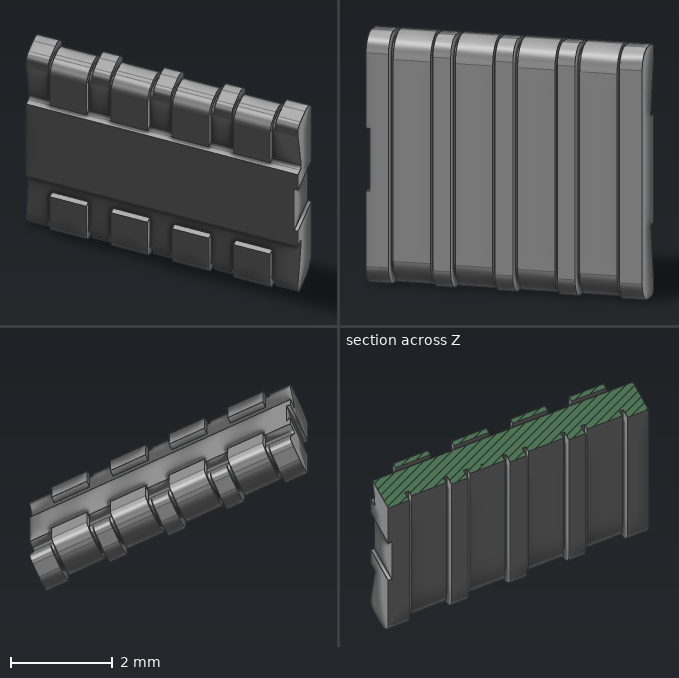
import cadquery as cq
import math

LENGTH = 5.64
HEIGHT = 5.08
BODY_DEPTH = 0.82
BACK_RADIUS = 0.39
FRONT_RADIUS = 0.14

RELIEF_START = 0.295
RELIEF_END = 1.45
RELIEF_DEPTH = 0.21
RELIEF_CORNER_RADIUS = 0.07

NOTCH_DEPTH = 0.08
NOTCH_HEIGHT = 1.26

LEAD_COUNT = 4
LEAD_PITCH = 1.27
LEAD_WIDTH = 0.76
LEAD_THICKNESS = 0.125
LEAD_LENGTH = 1.15
LEAD_FRONT_RADIUS = 0.26
LEAD_BACK_RADIUS = 0.51
LEAD_BACK_INSET = 0.08
SIDE_GAP = 0.075
SLOT_FRONT_RADIUS = 0.175

TOP = HEIGHT / 2
FRONT = -BODY_DEPTH
LEAD_FRONT = FRONT - LEAD_THICKNESS
LEAD_BACK = -LEAD_BACK_INSET
SLOT_WIDTH = LEAD_WIDTH + 2 * SIDE_GAP
SLOT_FLOOR = TOP - LEAD_THICKNESS
SLOT_BACK = LEAD_BACK - LEAD_THICKNESS
SLOT_BACK_RADIUS = LEAD_BACK_RADIUS - LEAD_THICKNESS

BACK_CENTER_Y = LEAD_BACK - LEAD_BACK_RADIUS
BACK_CENTER_Z = TOP - LEAD_BACK_RADIUS
SLOT_FRONT_CENTER_Y = FRONT + SLOT_FRONT_RADIUS
SLOT_FRONT_CENTER_Z = SLOT_FLOOR - SLOT_FRONT_RADIUS
LEAD_FRONT_CENTER_Y = LEAD_FRONT + LEAD_FRONT_RADIUS
LEAD_FRONT_CENTER_Z = TOP - LEAD_FRONT_RADIUS

ARC_MIDDLE = math.sqrt(0.5)


def sketch_at(x):
    """YZ sketch plane at the given X; local coordinates are (y, z)."""
    return cq.Workplane("YZ", origin=(x, 0, 0))


def with_mirror(shape):
    """The shape together with its mirror image about the middle height."""
    return shape.union(shape.mirror("XY"))


def front_arc_middle(center_y, center_z, radius):
    """Middle of a quarter arc that rounds a corner facing -Y and +Z."""
    return (center_y - radius * ARC_MIDDLE, center_z + radius * ARC_MIDDLE)


def back_arc_middle(center_y, center_z, radius):
    """Middle of a quarter arc that rounds a corner facing +Y and +Z."""
    return (center_y + radius * ARC_MIDDLE, center_z + radius * ARC_MIDDLE)


def slot_floor_path(x):
    """Open path along the slot floor, from mid-height at the back over the top to the front face."""
    return (
        sketch_at(x)
        .moveTo(SLOT_BACK, 0)
        .lineTo(SLOT_BACK, BACK_CENTER_Z)
        .threePointArc(
            back_arc_middle(BACK_CENTER_Y, BACK_CENTER_Z, SLOT_BACK_RADIUS), (BACK_CENTER_Y, SLOT_FLOOR)
        )
        .lineTo(SLOT_FRONT_CENTER_Y, SLOT_FLOOR)
        .threePointArc(
            front_arc_middle(SLOT_FRONT_CENTER_Y, SLOT_FRONT_CENTER_Z, SLOT_FRONT_RADIUS),
            (FRONT, SLOT_FRONT_CENTER_Z),
        )
    )


def make_body():
    """Plain block with its long edges rounded."""
    body = cq.Workplane("XY").box(LENGTH, BODY_DEPTH, HEIGHT).translate((0, FRONT / 2, 0))
    body = body.edges("|X and >Y").fillet(BACK_RADIUS)
    return body.edges("|X and <Y").fillet(FRONT_RADIUS)


def make_relief():
    """Upper wedge cut, deepest at a rounded inner corner beside the middle of the front face."""
    relief = (
        sketch_at(-LENGTH / 2)
        .moveTo(FRONT, TOP - RELIEF_START)
        .lineTo(FRONT + RELIEF_DEPTH, TOP - RELIEF_END)
        .lineTo(FRONT, TOP - RELIEF_END)
        .close()
        .extrude(LENGTH)
    )
    return relief.edges("|X and >Y").fillet(RELIEF_CORNER_RADIUS)


def make_slot(center_x):
    """Upper half of the channel around one lead, running over the top and down the back."""
    return (
        slot_floor_path(center_x - SLOT_WIDTH / 2)
        .lineTo(LEAD_FRONT, SLOT_FRONT_CENTER_Z)
        .lineTo(LEAD_FRONT, TOP)
        .lineTo(0, TOP)
        .lineTo(0, 0)
        .close()
        .extrude(SLOT_WIDTH)
    )


def make_lead(center_x):
    """Upper half of one lead: up the back, over the top and down in front of the relief."""
    return (
        slot_floor_path(center_x - LEAD_WIDTH / 2)
        .lineTo(FRONT, TOP - LEAD_LENGTH)
        .lineTo(LEAD_FRONT, TOP - LEAD_LENGTH)
        .lineTo(LEAD_FRONT, LEAD_FRONT_CENTER_Z)
        .threePointArc(
            front_arc_middle(LEAD_FRONT_CENTER_Y, LEAD_FRONT_CENTER_Z, LEAD_FRONT_RADIUS),
            (LEAD_FRONT_CENTER_Y, TOP),
        )
        .lineTo(BACK_CENTER_Y, TOP)
        .threePointArc(
            back_arc_middle(BACK_CENTER_Y, BACK_CENTER_Z, LEAD_BACK_RADIUS), (LEAD_BACK, BACK_CENTER_Z)
        )
        .lineTo(LEAD_BACK, 0)
        .close()
        .extrude(LEAD_WIDTH)
    )


def make_notch():
    """Rectangular cut at mid-height of the +X end, through the whole depth."""
    return (
        cq.Workplane("XY")
        .box(NOTCH_DEPTH, BODY_DEPTH, NOTCH_HEIGHT)
        .translate(((LENGTH - NOTCH_DEPTH) / 2, FRONT / 2, 0))
    )


result = make_body().cut(with_mirror(make_relief())).cut(make_notch())
for index in range(LEAD_COUNT):
    lead_x = (index - (LEAD_COUNT - 1) / 2) * LEAD_PITCH
    result = result.cut(with_mirror(make_slot(lead_x)))
    result = result.union(with_mirror(make_lead(lead_x)))